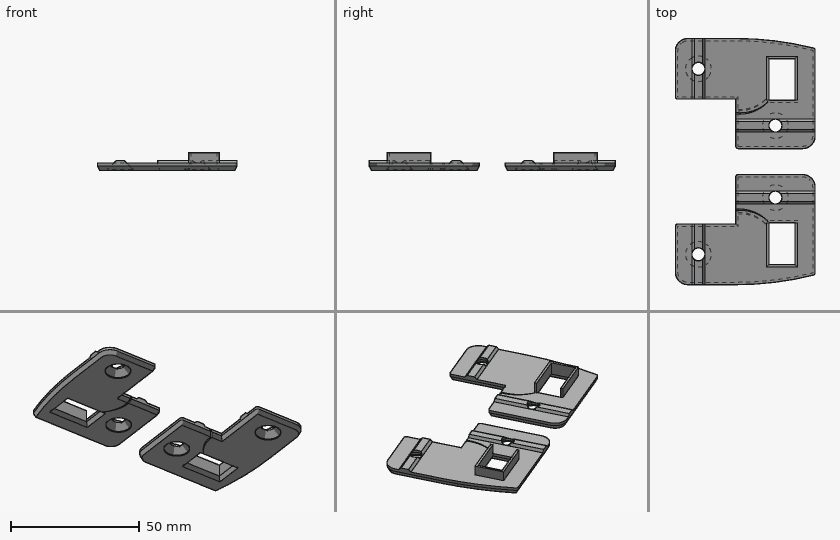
import cadquery as cq
import math

LENGTH_X = 54.5
OUTER_Y = 48.0
INNER_Y = 5.0
NOTCH_X = 23.5
NOTCH_Y = 24.3
LARGE_CORNER = 5.0
SMALL_CORNER = 1.1
BOW_RADIUS = 124.8

PLATE_TOP = 3.0
RIDGE_TOP = 3.9
FRAME_TOP = 7.0
BEVEL_HEIGHT = 1.8
BEVEL_INSET = 1.0

RIDGE_OFFSET = 9.0
RIDGE_BASE_WIDTH = 5.1
RIDGE_TOP_WIDTH = 3.1
HOLE_DIAMETER = 5.0
SINK_DIAMETER = 10.0
SINK_LIP = 0.5

WINDOW_X = 36.6
WINDOW_Y = 23.9
WINDOW_SIZE_X = 10.0
WINDOW_SIZE_Y = 16.1
FRAME_WALL = 1.0

SLIT_RADIUS = 15.6
SLIT_CENTER_X = 24.9
SLIT_CENTER_Y = 34.0
SLIT_SHIFT = 0.6
SLIT_SLANT = 1.3

RIDGE_X = RIDGE_OFFSET
RIDGE_Y = INNER_Y + RIDGE_OFFSET
ARM_MIDDLE_Y = (NOTCH_Y + OUTER_Y) / 2
TONGUE_MIDDLE_X = (NOTCH_X + LENGTH_X) / 2
SINK_DEPTH = (SINK_DIAMETER - HOLE_DIAMETER) / 2


def outer_edge_y(x):
    """Y of the bowed outer edge at a given X beyond the notch."""
    run = x - NOTCH_X
    return OUTER_Y - BOW_RADIUS + math.sqrt(BOW_RADIUS**2 - run**2)


def outline_prism(height):
    """L-shaped plate outline with rounded corners, extruded upward from Z = 0."""
    bow_middle_x = (NOTCH_X + LENGTH_X) / 2
    bow_end_y = outer_edge_y(LENGTH_X)
    prism = (
        cq.Workplane("XY")
        .moveTo(0, NOTCH_Y)
        .lineTo(NOTCH_X, NOTCH_Y)
        .lineTo(NOTCH_X, INNER_Y)
        .lineTo(LENGTH_X, INNER_Y)
        .lineTo(LENGTH_X, bow_end_y)
        .threePointArc((bow_middle_x, outer_edge_y(bow_middle_x)), (NOTCH_X, OUTER_Y))
        .lineTo(0, OUTER_Y)
        .close()
        .extrude(height)
    )
    corners = [
        (0, OUTER_Y, LARGE_CORNER),
        (LENGTH_X, INNER_Y, LARGE_CORNER),
        (0, NOTCH_Y, SMALL_CORNER),
        (NOTCH_X, INNER_Y, SMALL_CORNER),
        (LENGTH_X, bow_end_y, SMALL_CORNER),
    ]
    for x, y, radius in corners:
        corner_edge = cq.selectors.NearestToPointSelector((x, y, height / 2))
        prism = prism.edges(corner_edge).fillet(radius)
    return prism


def ridge_profile(workplane, center):
    """Closed trapezoid standing on the plate top."""
    half_base = RIDGE_BASE_WIDTH / 2
    half_top = RIDGE_TOP_WIDTH / 2
    return workplane.polyline(
        [
            (center - half_base, PLATE_TOP),
            (center + half_base, PLATE_TOP),
            (center + half_top, RIDGE_TOP),
            (center - half_top, RIDGE_TOP),
        ]
    ).close()


def ridges():
    """One ridge across each arm, trimmed to the plate outline."""
    arm_ridge = ridge_profile(cq.Workplane("XZ", origin=(0, NOTCH_Y, 0)), RIDGE_X).extrude(
        NOTCH_Y - OUTER_Y
    )
    tongue_ridge = ridge_profile(cq.Workplane("YZ", origin=(NOTCH_X, 0, 0)), RIDGE_Y).extrude(
        LENGTH_X - NOTCH_X
    )
    return arm_ridge.union(tongue_ridge).intersect(outline_prism(RIDGE_TOP))


def frame():
    """Block whose walls surround the window on three sides once the window is cut."""
    return cq.Workplane("XY", origin=(WINDOW_X - FRAME_WALL, WINDOW_Y, PLATE_TOP)).box(
        WINDOW_SIZE_X + 2 * FRAME_WALL,
        WINDOW_SIZE_Y + FRAME_WALL,
        FRAME_TOP - PLATE_TOP,
        centered=False,
    )


def window():
    """Opening through the plate, flared at the bottom by the same bevel as the outline."""
    opening = cq.Workplane("XY", origin=(WINDOW_X, WINDOW_Y, 0)).box(
        WINDOW_SIZE_X, WINDOW_SIZE_Y, FRAME_TOP, centered=False
    )
    middle = (WINDOW_X + WINDOW_SIZE_X / 2, WINDOW_Y + WINDOW_SIZE_Y / 2)
    flare = (
        cq.Workplane("XY", origin=(*middle, 0))
        .rect(WINDOW_SIZE_X + 2 * BEVEL_INSET, WINDOW_SIZE_Y + 2 * BEVEL_INSET)
        .workplane(offset=BEVEL_HEIGHT)
        .rect(WINDOW_SIZE_X, WINDOW_SIZE_Y)
        .loft(ruled=True)
    )
    return opening.union(flare)


def screw_hole(x, y):
    """Through hole with a 45 degree countersink and a short straight lip at the bottom."""
    hole = cq.Workplane("XY").center(x, y).circle(HOLE_DIAMETER / 2).extrude(RIDGE_TOP)
    lip = cq.Workplane("XY").center(x, y).circle(SINK_DIAMETER / 2).extrude(SINK_LIP)
    sink = cq.Solid.makeCone(
        SINK_DIAMETER / 2, HOLE_DIAMETER / 2, SINK_DEPTH, pnt=cq.Vector(x, y, SINK_LIP)
    )
    return hole.union(lip).union(cq.Workplane(sink))


def slit_cone(shift):
    """Cone that bounds one wall of the slit."""
    cone = cq.Solid.makeCone(
        SLIT_RADIUS - SLIT_SLANT,
        SLIT_RADIUS,
        PLATE_TOP,
        pnt=cq.Vector(SLIT_CENTER_X + shift, SLIT_CENTER_Y + shift, 0),
    )
    return cq.Workplane(cone)


def slit():
    """Crescent between two offset cones, kept only between the notch and the window."""
    reach = cq.Workplane("XY", origin=(NOTCH_X, INNER_Y, 0)).box(
        WINDOW_X - NOTCH_X, NOTCH_Y - INNER_Y, PLATE_TOP, centered=False
    )
    return slit_cone(0).cut(slit_cone(SLIT_SHIFT)).intersect(reach)


def make_plate():
    plate = outline_prism(PLATE_TOP)
    plate = plate.faces("<Z").chamfer(BEVEL_INSET, BEVEL_HEIGHT)
    plate = plate.cut(slit())
    plate = plate.union(ridges()).union(frame())
    plate = plate.cut(window())
    for x, y in [(RIDGE_X, ARM_MIDDLE_Y), (TONGUE_MIDDLE_X, RIDGE_Y)]:
        plate = plate.cut(screw_hole(x, y))
    return plate


plate = make_plate()
mirrored_plate = plate.mirror("XZ")

result = cq.Compound.makeCompound([plate.solids().val(), mirrored_plate.solids().val()])